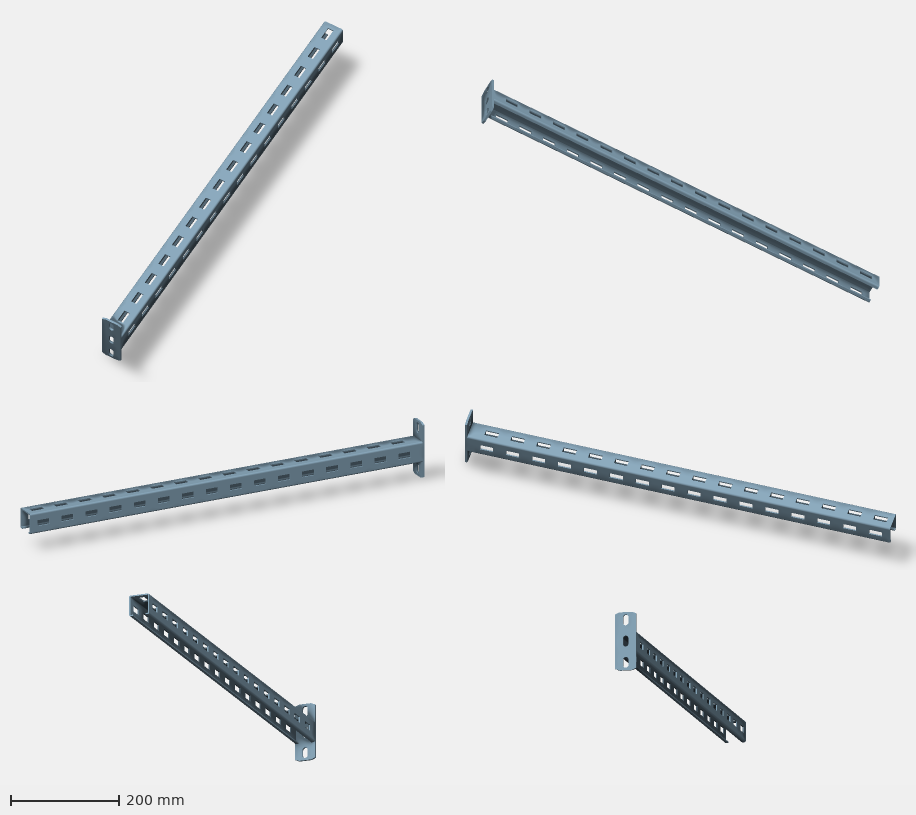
import cadquery as cq

total_length = 819.0
width = 40.0

plate_height = 110.0
plate_thickness = 4.0
plate_corner_width = 8.0
plate_corner_drop = 3.0
plate_slot_count = 3
plate_slot_length = 20.5
plate_slot_width = 11.0
plate_slot_pitch = 40.0

channel_height = width
channel_centre_z = -2.0
wall = 2.5
bend_radius = 3.0
mouth_width = 25.0

slot_count = 16
slot_pitch = 50.0
slot_length = 25.0
slot_width = 11.5
web_slot_margin = 24.0
flange_slot_margin = 28.0

free_end = total_length / 2
plate_back = -total_length / 2 + plate_thickness
channel_length = total_length - plate_thickness


def make_end_plate():
    """Upright plate with slanted corners and a column of round-ended slots."""
    half_width = width / 2
    half_height = plate_height / 2
    flat = half_width - plate_corner_width
    shoulder = half_height - plate_corner_drop
    corners = [
        (half_width, shoulder),
        (flat, half_height),
        (-flat, half_height),
        (-half_width, shoulder),
        (-half_width, -shoulder),
        (-flat, -half_height),
        (flat, -half_height),
        (half_width, -shoulder),
    ]
    back_face = cq.Workplane("XZ", origin=(0, plate_back, 0))
    plate = back_face.polyline(corners).close().extrude(plate_thickness)
    slots = (
        back_face.rarray(8, plate_slot_pitch, 1, plate_slot_count)
        .slot2D(plate_slot_length, plate_slot_width, 90)
        .extrude(plate_thickness)
    )
    return plate.cut(slots)


def rounded_bar(bar_width, bar_height, radius):
    """Bar running from the free end to the plate, with its long edges rounded."""
    return (
        cq.Workplane("XZ", origin=(0, free_end, 0))
        .rect(bar_width, bar_height)
        .extrude(channel_length)
        .edges("|Y")
        .fillet(radius)
    )


def slot_row(depth, margin):
    """Row of rectangular slot cutters along Y, standing upright on Z = 0."""
    first = free_end - margin
    centres = [(0, first - i * slot_pitch) for i in range(slot_count)]
    return cq.Workplane("XY").pushPoints(centres).rect(slot_width, slot_length).extrude(depth)


def make_channel():
    """C-shaped channel, open below between two lips, slotted in the web and both flanges."""
    outer = rounded_bar(width, channel_height, bend_radius)
    inner = rounded_bar(width - 2 * wall, channel_height - 2 * wall, bend_radius - wall)
    mouth = (
        cq.Workplane("XZ", origin=(0, free_end, -channel_height / 4))
        .rect(mouth_width, channel_height / 2)
        .extrude(channel_length)
    )
    web_slots = slot_row(channel_height, web_slot_margin)
    flange_slots = (
        slot_row(width, flange_slot_margin)
        .translate((0, 0, -width / 2))
        .rotate((0, 0, 0), (0, 1, 0), 90)
    )
    channel = outer.cut(inner).cut(mouth).cut(web_slots).cut(flange_slots)
    return channel.translate((0, 0, channel_centre_z))


end_plate = make_end_plate()
channel = make_channel()

result = cq.Compound.makeCompound([end_plate.val(), channel.val()])